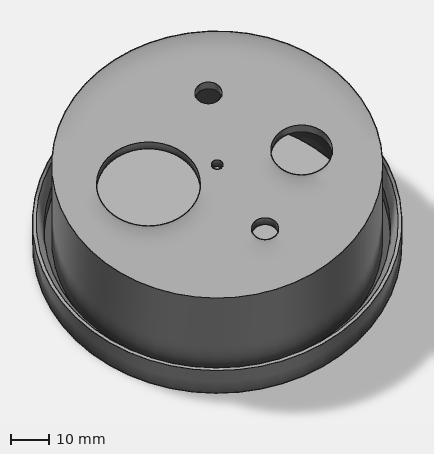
import cadquery as cq

height = 35.0
wall = 3.0
body_diameter = 86.0
cavity_diameter = body_diameter - 2 * wall
top_thickness = 3.0

rim_diameter = 96
rim_height = 10.0
rim_lip_width = 1.0
groove_diameter = 90.0
groove_floor_z = 2.0
bevel_height = 3.0

top_holes = [
    (27.0, -0.5, -18.9),
    (16.0, 3.4, 22.2),
    (7.0, -22.4, 6.0),
    (7.0, 23.7, 4.3),
    (3.0, 0, 0),
]


def make_shell():
    """Revolve the cup wall, top plate and grooved rim as one profile."""
    cavity_radius = cavity_diameter / 2
    body_radius = body_diameter / 2
    groove_radius = groove_diameter / 2
    rim_radius = rim_diameter / 2
    profile = [
        (cavity_radius, 0),
        (rim_radius, 0),
        (rim_radius, rim_height),
        (rim_radius - rim_lip_width, rim_height),
        (groove_radius, rim_height - bevel_height),
        (groove_radius, groove_floor_z),
        (body_radius, groove_floor_z),
        (body_radius, height),
        (0, height),
        (0, height - top_thickness),
        (cavity_radius, height - top_thickness),
    ]
    return cq.Workplane("XZ").polyline(profile).close().revolve(360, (0, 0), (0, 1))


def make_hole_cutter(diameter, x, y):
    """Cylinder that passes right through the top plate."""
    return cq.Workplane("XY").center(x, y).circle(diameter / 2).extrude(height)


result = make_shell()
for hole_diameter, hole_x, hole_y in top_holes:
    result = result.cut(make_hole_cutter(hole_diameter, hole_x, hole_y))